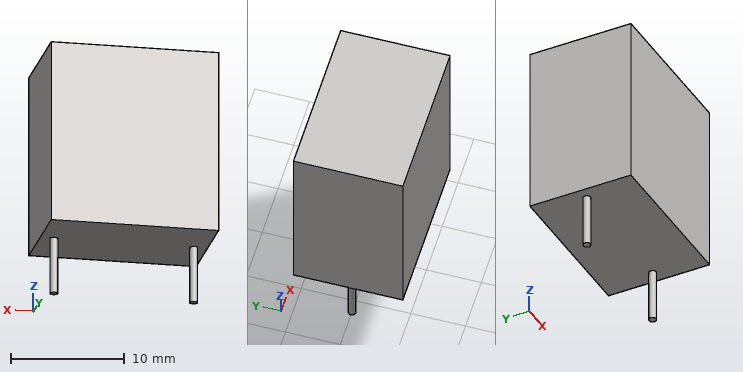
import cadquery as cq

total_height = 21.6
body_length = 15.0
body_width = 10.0
body_height = 16.5

pin_diameter = 0.7
pin_spacing = 12.5
pin_length = total_height - body_height


def make_housing():
    """Plain rectangular block standing on the plane Z = 0."""
    return cq.Workplane("XY").box(body_length, body_width, body_height, centered=(True, True, False))


def make_pin(x):
    """Round lead hanging from the underside of the housing at the given X."""
    return cq.Workplane("XY").center(x, 0).circle(pin_diameter / 2).extrude(-pin_length)


housing = make_housing()
pins = [make_pin(side * pin_spacing / 2) for side in (-1, 1)]

result = cq.Compound.makeCompound([housing.val(), *[pin.val() for pin in pins]])